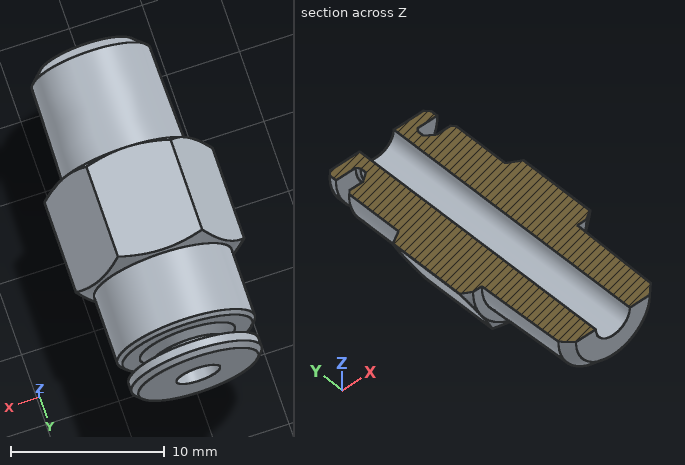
import cadquery as cq
import math

total_length = 22.7
tip_chamfer_length = 0.8
hex_start = 8.0
hex_end = 15.48
body_end = 20.48
body_chamfer_length = 0.27
neck_start = 20.97
neck_end = 21.45
collar_start = 21.72
collar_chamfer_length = 0.36

tip_radius = 3.27
stub_small_radius = 4.09
stub_large_radius = 4.25
body_radius = 4.75
body_chamfer_width = 0.27
neck_base_radius = 3.27
neck_radius = 2.57
neck_flare_radius = 2.75
collar_radius = 4.5
collar_chamfer_width = 0.36
bore_radius = 1.5

across_flats = 10.0
across_corners = across_flats / math.cos(math.radians(30))
hex_chamfer_angle = 30.0


def revolve_about_y(profile):
    """Revolve (radius, y) points, closed along the axis, into a solid."""
    axis_points = [(0, profile[-1][1]), (0, profile[0][1])]
    return (
        cq.Workplane("XY")
        .polyline(profile + axis_points)
        .close()
        .revolve(360, (0, 0, 0), (0, 1, 0))
    )


def make_hex():
    """Hexagonal section with its corners turned off conically at both ends."""
    corner_radius = across_corners / 2
    flat_radius = across_flats / 2
    slope = math.tan(math.radians(hex_chamfer_angle))
    front_drop = (corner_radius - flat_radius) * slope
    rear_drop = (corner_radius - body_radius) * slope
    prism = (
        cq.Workplane("XZ", origin=(0, hex_start, 0))
        .polygon(6, across_corners)
        .extrude(-(hex_end - hex_start))
    )
    envelope = revolve_about_y([
        (flat_radius, hex_start),
        (corner_radius, hex_start + front_drop),
        (corner_radius, hex_end - rear_drop),
        (body_radius, hex_end),
    ])
    return prism.intersect(envelope)


stub = revolve_about_y([
    (tip_radius, 0),
    (stub_small_radius, tip_chamfer_length),
    (stub_large_radius, hex_start),
])

sleeve_end = revolve_about_y([
    (body_radius, hex_end),
    (body_radius, body_end - body_chamfer_length),
    (body_radius - body_chamfer_width, body_end),
    (neck_base_radius, body_end),
    (neck_radius, neck_start),
    (neck_radius, neck_end),
    (neck_flare_radius, collar_start),
    (collar_radius, collar_start),
    (collar_radius, total_length - collar_chamfer_length),
    (collar_radius - collar_chamfer_width, total_length),
])

bore = cq.Workplane("XZ").circle(bore_radius).extrude(-total_length)

result = stub.union(make_hex()).union(sleeve_end).cut(bore)